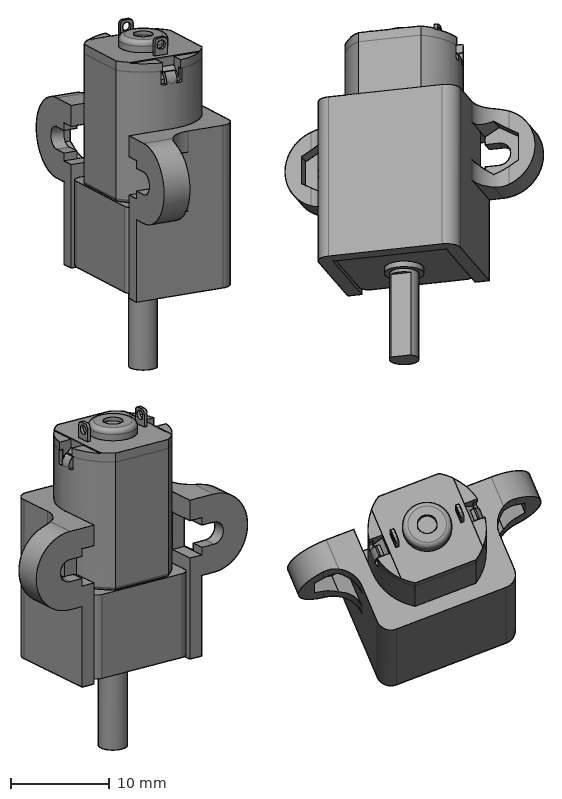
import cadquery as cq
import math


motor_radius = 6.0
motor_depth = 10.0
front_y = -motor_depth / 2
gearbox_bottom_z = 0.4
gearbox_top_z = 9.5
gearbox_corner_radius = 1.0
can_edge_radius = 0.35
cap_seam_z = 23.47
cap_top_z = 24.46
cap_shoulder_drop = 0.1
cap_shoulder_x = 4.47

boss_radius = 2.5
boss_top_z = 25.69
boss_edge_radius = 0.55
boss_bore_radius = 1.0
boss_bore_depth = 0.4

terminal_top_z = 26.3
terminal_x = 3.56
terminal_thickness = 0.36
terminal_width = 1.5
terminal_corner_radius = 0.45
terminal_hole_diameter = 0.95
terminal_hole_z = 25.55

notch_width = 2.1
clip_pocket_width = 2.4
clip_pocket_x = 5.47
clip_pocket_bottom_z = 22.0
clip_pocket_corner_radius = 0.2
ramp_bottom_z = cap_seam_z - (clip_pocket_x - cap_shoulder_x)
tongue_width = 1.2
tongue_top_z = 23.2
tongue_root_x = 4.94
tongue_root_z = cap_seam_z - (tongue_root_x - cap_shoulder_x)
tongue_ridge_x = 5.31

shaft_radius = 1.5
shaft_flat_y = 1.06
shaft_flat_start_z = -0.56
shaft_end_z = -9.5
bushing_radius = 2.0
bushing_bottom_z = -0.2

wall = 1.5
bracket_half_width = motor_radius + wall
bracket_back_y = 6.55
bracket_height = 17.25
bracket_corner_radius = 1.5
ear_radius = 4.25
ear_thickness = 3.0
ear_fillet_radius = 3.0
ear_center_x = 9.0
ear_center_z = bracket_height - ear_radius
ear_back_y = front_y + ear_thickness
slot_radius = 1.2
nut_across_flats = 5.0
nut_pocket_y = -3.5
nut_corner_radius = nut_across_flats / math.sqrt(3)
wall_notch_height = 2 * (nut_corner_radius - (ear_center_x - bracket_half_width) / math.sqrt(3))


def box(x0, x1, y0, y1, z0, z1):
    """Box between two corner positions."""
    return cq.Workplane("XY").box(x1 - x0, y1 - y0, z1 - z0, centered=False).translate((x0, y0, z0))


def cylinder(radius, z0, z1):
    """Cylinder on the shaft axis."""
    return cq.Workplane("XY").workplane(offset=z0).circle(radius).extrude(z1 - z0)


def motor_body(z0, z1):
    """Round motor section with flats at the front and back."""
    flats = box(-motor_radius, motor_radius, front_y, -front_y, z0, z1)
    return cylinder(motor_radius, z0, z1).intersect(flats)


def on_both_sides(feature):
    """The feature together with its mirror image across the YZ plane."""
    return feature.union(feature.mirror("YZ"))


def xz_plane(y):
    """Sketch plane at y whose extrusions run toward +Y; sketch x is the part's -X."""
    return cq.Workplane(cq.Plane(origin=(0, y, 0), xDir=(-1, 0, 0), normal=(0, 1, 0)))


def make_ear():
    """Rounded mounting ear on the -X side, with a fillet web running into the bracket wall."""
    web_end_x = bracket_half_width + ear_fillet_radius
    outer_x = ear_center_x + ear_radius
    web_back_y = ear_back_y + ear_fillet_radius
    section = (
        cq.Workplane("XY")
        .moveTo(-motor_radius, front_y)
        .lineTo(-outer_x, front_y)
        .lineTo(-outer_x, ear_back_y)
        .lineTo(-web_end_x, ear_back_y)
        .radiusArc((-bracket_half_width, web_back_y), -ear_fillet_radius)
        .lineTo(-motor_radius, web_back_y)
        .close()
        .extrude(bracket_height)
    )
    outline = (
        xz_plane(front_y)
        .moveTo(motor_radius, ear_center_z - ear_radius)
        .lineTo(ear_center_x, ear_center_z - ear_radius)
        .threePointArc((outer_x, ear_center_z), (ear_center_x, ear_center_z + ear_radius))
        .lineTo(motor_radius, ear_center_z + ear_radius)
        .close()
        .extrude(web_back_y - front_y)
    )
    return section.intersect(outline)


def make_ear_cuts():
    """Screw slot, nut pocket and wall notch of the -X ear."""
    slot = (
        xz_plane(front_y)
        .moveTo(motor_radius, ear_center_z - slot_radius)
        .lineTo(ear_center_x, ear_center_z - slot_radius)
        .threePointArc(
            (ear_center_x + slot_radius, ear_center_z), (ear_center_x, ear_center_z + slot_radius)
        )
        .lineTo(motor_radius, ear_center_z + slot_radius)
        .close()
        .extrude(ear_thickness)
    )
    hexagon = (
        xz_plane(nut_pocket_y)
        .center(ear_center_x, ear_center_z)
        .transformed(rotate=(0, 0, 90))
        .polygon(6, 2 * nut_corner_radius)
        .extrude(bracket_back_y - nut_pocket_y)
    )
    outside_wall = box(
        -ear_center_x - nut_across_flats,
        -bracket_half_width,
        nut_pocket_y,
        bracket_back_y,
        0,
        bracket_height,
    )
    notch = box(
        -bracket_half_width,
        -motor_radius,
        front_y,
        ear_back_y,
        ear_center_z - wall_notch_height / 2,
        ear_center_z + wall_notch_height / 2,
    )
    return slot.union(hexagon.intersect(outside_wall)).union(notch)


def make_bracket():
    """U-shaped bracket, open at the front, with an ear on each side."""
    body = box(-bracket_half_width, bracket_half_width, front_y, bracket_back_y, 0, bracket_height)
    body = body.edges("|Z and >Y").fillet(bracket_corner_radius)
    body = body.union(on_both_sides(make_ear()))
    gearbox_space = box(-motor_radius, motor_radius, front_y, -front_y, 0, gearbox_top_z)
    motor_opening = box(-motor_radius, motor_radius, front_y, 0, gearbox_top_z, bracket_height)
    body = body.cut(gearbox_space).cut(motor_opening).cut(motor_body(gearbox_top_z, bracket_height))
    return body.cut(on_both_sides(make_ear_cuts()))


def make_gearbox():
    """Gearbox block with rounded front corners, filling the lower part of the bracket."""
    block = box(-motor_radius, motor_radius, front_y, -front_y, gearbox_bottom_z, gearbox_top_z)
    return block.edges("|Z and <Y").fillet(gearbox_corner_radius)


def make_tongue():
    """Tongue in the middle of the -X clip pocket, curving out from the ramp to the can's surface."""
    ridge_reach = motor_radius - clip_pocket_x
    ridge_rise = tongue_top_z - clip_pocket_bottom_z
    bend_radius = (ridge_reach**2 + ridge_rise**2) / (2 * ridge_reach)
    return (
        cq.Workplane("XZ")
        .moveTo(-tongue_root_x, clip_pocket_bottom_z)
        .lineTo(-tongue_root_x, tongue_root_z)
        .lineTo(-tongue_ridge_x, tongue_top_z)
        .lineTo(-clip_pocket_x, tongue_top_z)
        .radiusArc((-motor_radius, clip_pocket_bottom_z), -bend_radius)
        .close()
        .extrude(tongue_width / 2, both=True)
    )


def make_clip_recess():
    """Cap notch with its 45-degree ramp, and the clip pocket around the tongue, on the -X side."""
    recess = (
        cq.Workplane("XZ")
        .moveTo(-cap_shoulder_x, cap_top_z)
        .lineTo(-cap_shoulder_x, cap_seam_z)
        .lineTo(-clip_pocket_x, ramp_bottom_z)
        .lineTo(-motor_radius, ramp_bottom_z)
        .lineTo(-motor_radius, cap_top_z)
        .close()
        .extrude(notch_width / 2, both=True)
    )
    half_pocket = clip_pocket_width / 2
    pocket = box(
        -motor_radius, -clip_pocket_x, -half_pocket, half_pocket, clip_pocket_bottom_z, cap_seam_z
    )
    pocket = pocket.edges("|X and <Z").fillet(clip_pocket_corner_radius)
    return recess.union(pocket).cut(make_tongue())


def make_motor():
    """Motor can with its end cap, shoulders, boss and clip recesses."""
    can = motor_body(gearbox_top_z, cap_seam_z).faces("<Z").edges().fillet(can_edge_radius)
    cap = motor_body(cap_seam_z, cap_top_z)
    shoulder = box(
        -motor_radius, -cap_shoulder_x, front_y, -front_y, cap_top_z - cap_shoulder_drop, cap_top_z
    )
    boss = cylinder(boss_radius, cap_top_z, boss_top_z).faces(">Z").edges().fillet(boss_edge_radius)
    bore = cylinder(boss_bore_radius, boss_top_z - boss_bore_depth, boss_top_z)
    motor = can.union(cap, clean=False).cut(on_both_sides(shoulder), clean=False)
    motor = motor.cut(on_both_sides(make_clip_recess()), clean=False)
    return motor.union(boss.cut(bore), clean=False)


def make_terminal():
    """Flat solder terminal with a wire hole, on the -X side."""
    half_thickness = terminal_thickness / 2
    blade = box(
        -terminal_x - half_thickness,
        -terminal_x + half_thickness,
        -terminal_width / 2,
        terminal_width / 2,
        cap_top_z,
        terminal_top_z,
    )
    blade = blade.edges("|X and >Z").fillet(terminal_corner_radius)
    hole = (
        cq.Workplane("YZ")
        .center(0, terminal_hole_z)
        .circle(terminal_hole_diameter / 2)
        .extrude(2 * terminal_x, both=True)
    )
    return blade.cut(hole)


def make_shaft():
    """D-shaped output shaft with its bushing."""
    shaft = cylinder(shaft_radius, shaft_end_z, gearbox_bottom_z)
    flat = box(-shaft_radius, shaft_radius, shaft_flat_y, shaft_radius, shaft_end_z, shaft_flat_start_z)
    bushing = cylinder(bushing_radius, bushing_bottom_z, gearbox_bottom_z)
    return shaft.cut(flat).union(bushing)


result = (
    make_bracket()
    .union(make_gearbox(), clean=False)
    .union(make_motor(), clean=False)
    .union(on_both_sides(make_terminal()), clean=False)
    .union(make_shaft(), clean=False)
)